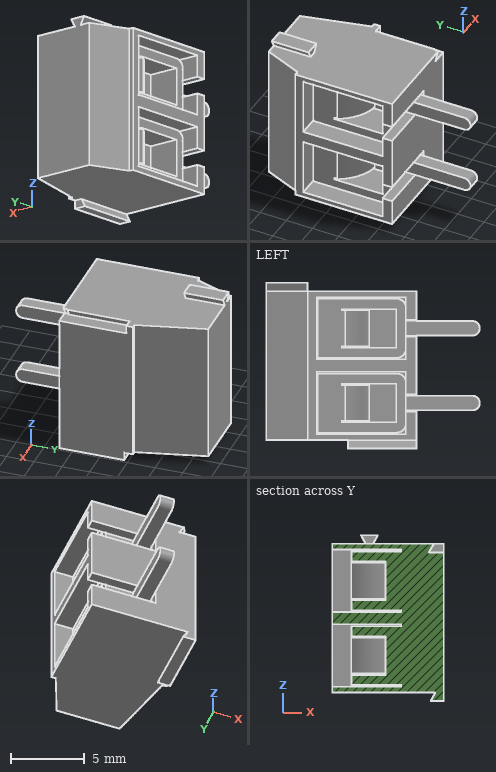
import cadquery as cq
import math


width = 7.6
depth = 10.21
height = 10.1
entry_shoulder_y = 7.4
entry_shoulder_step = 0.32
back_edge_start_x = 1.51
back_edge_end_x = 6.12
far_shoulder_y = 5.3
far_shoulder_step = 0.3

pole_pitch = 5.08
pole_heights = [height / 2 - pole_pitch / 2, height / 2 + pole_pitch / 2]

pocket_front_y = 0.72
pocket_back_y = 6.79
pocket_height = 4.22
pocket_depth = 1.3

cage_height = 4.0
cage_back_gap = 0.09
cage_corner_radius = 0.61
cage_back_y = pocket_back_y - cage_back_gap
window_front_y = 1.39
window_back_y = 5.08
window_height = 2.61
window_depth = 2.32
window_floor_x = pocket_depth + window_depth

clamp_radius = 3.2
clamp_height = 2.42
clamp_front_y = 3.16
clamp_root_y = 4.86
clamp_axis_y = clamp_front_y + clamp_radius
clamp_axis_x = pocket_depth + math.sqrt(clamp_radius**2 - (clamp_axis_y - clamp_root_y) ** 2)

pin_size = 1.0
pin_length = 4.29
pin_x = width / 2
slot_end_x = 4.68
slot_height = 1.17

rib_x = 2.54
rib_height = 0.58
rib_top_width = 1.16
rib_base_width = 0.54
rib_front_y = entry_shoulder_y

tongue_height = 0.58
tongue_neck_width = 0.6
tongue_wide_width = 0.91
tongue_length = 4.67
groove_depth = 0.58
groove_neck_width = 0.67
groove_wide_width = 1.02
groove_length = 4.83
groove_flare = 0.17
groove_flare_length = 0.35


def box_between(x_range, y_range, z_range):
    """Axis-aligned box given by its limits along each axis."""
    lengths = [end - start for start, end in (x_range, y_range, z_range)]
    corner = (x_range[0], y_range[0], z_range[0])
    return cq.Workplane("XY").box(*lengths, centered=False).translate(corner)


def span(center, length):
    """Limits of a length centred on a point."""
    return (center - length / 2, center + length / 2)


def profile_at(points, y):
    """Closed XZ outline placed at a given Y."""
    return cq.Workplane("XZ", origin=(0, y, 0)).polyline(points).close()


def make_housing():
    outline = [
        (0, 0),
        (width, 0),
        (width, far_shoulder_y),
        (width - far_shoulder_step, far_shoulder_y),
        (back_edge_end_x, depth),
        (back_edge_start_x, depth),
        (entry_shoulder_step, entry_shoulder_y),
        (0, entry_shoulder_y),
    ]
    return cq.Workplane("XY").polyline(outline).close().extrude(height)


def make_rib():
    half_top = rib_top_width / 2
    half_base = rib_base_width / 2
    outline = [
        (rib_x - half_base, height),
        (rib_x + half_base, height),
        (rib_x + half_top, height + rib_height),
        (rib_x - half_top, height + rib_height),
    ]
    return profile_at(outline, depth).extrude(depth - rib_front_y)


def dovetail_outline(neck_width, wide_width, neck_z, tall):
    """Half dovetail against the far side, widening downward from its neck."""
    return [
        (width, neck_z),
        (width - neck_width, neck_z),
        (width - wide_width, neck_z - tall),
        (width, neck_z - tall),
    ]


def make_tongue():
    outline = dovetail_outline(tongue_neck_width, tongue_wide_width, 0, tongue_height)
    return profile_at(outline, tongue_length).extrude(tongue_length)


def make_groove():
    inner = dovetail_outline(groove_neck_width, groove_wide_width, height, groove_depth)
    mouth = dovetail_outline(
        groove_neck_width + groove_flare, groove_wide_width + groove_flare, height, groove_depth
    )
    channel = profile_at(inner, groove_length).extrude(groove_length)
    flare = (
        profile_at(inner, groove_flare_length)
        .workplane(offset=groove_flare_length)
        .polyline(mouth)
        .close()
        .loft(ruled=True)
    )
    return channel.union(flare)


def make_clamp(z):
    """Part of an upright cylinder that stays behind the cage face and inside the window."""
    cylinder = (
        cq.Workplane("XY", origin=(clamp_axis_x, clamp_axis_y, z - clamp_height / 2))
        .circle(clamp_radius)
        .extrude(clamp_height)
    )
    limits = box_between(
        (pocket_depth, window_floor_x), (clamp_front_y, window_back_y), span(z, clamp_height)
    )
    return cylinder.intersect(limits)


def make_entry_cut(z):
    """Pocket with a narrow gap around the cage, less the cage and its clamp."""
    pocket = box_between((0, slot_end_x), (pocket_front_y, pocket_back_y), span(z, pocket_height))
    cage = box_between(
        (pocket_depth, slot_end_x), (pocket_front_y, cage_back_y), span(z, cage_height)
    )
    cage = cage.edges("|X and <Y").fillet(cage_corner_radius)
    window = box_between(
        (pocket_depth, window_floor_x), (window_front_y, window_back_y), span(z, window_height)
    )
    return pocket.cut(cage.cut(window).union(make_clamp(z)))


def make_pin_slot(z):
    return box_between((0, slot_end_x), (0, pocket_front_y), span(z, slot_height))


def make_pin(z):
    """Square pin rooted in the cage, with a fully rounded tip."""
    tip_radius = pin_size / 2
    shank_end_y = tip_radius - pin_length
    x_range = span(pin_x, pin_size)
    shank = box_between(x_range, (shank_end_y, pocket_front_y), span(z, pin_size))
    tip = (
        cq.Workplane("YZ", origin=(x_range[0], shank_end_y, z))
        .circle(tip_radius)
        .extrude(pin_size)
    )
    return shank.union(tip)


result = make_housing().union(make_rib()).union(make_tongue()).cut(make_groove())
for pole_z in pole_heights:
    result = result.cut(make_entry_cut(pole_z))
    result = result.cut(make_pin_slot(pole_z))
    result = result.union(make_pin(pole_z))